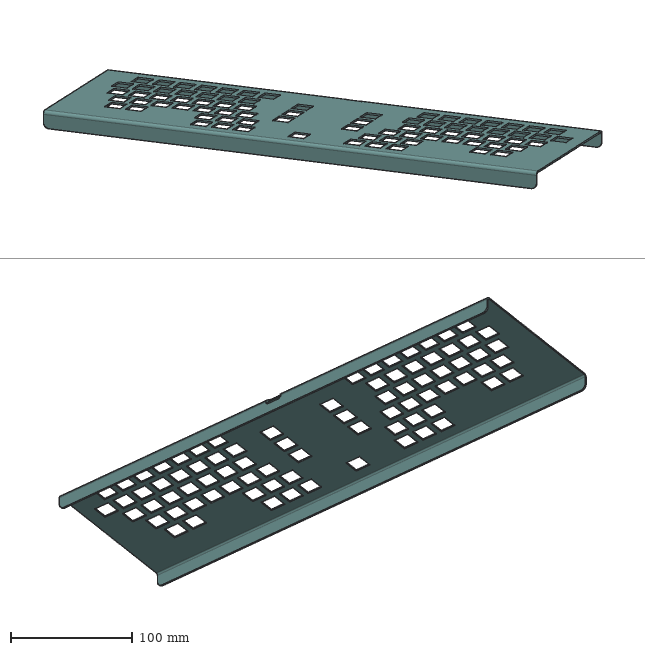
import cadquery as cq

length = 443.86
width = 134.3
height = 15.0
sheet = 1.5
bend_radius = 3.0
flange_corner_radius = 5.0

key_pitch = 19.05
key_size = 14.0

opening_width = 15.5
opening_height = 6.0

left_runs = [
    (2.5, 3.625, 7),
    (1.5, 4.125, 7),
    (0.5, 3.875, 7),
    (-0.5, 3.375, 7),
    (-1.5, 2.875, 3),
    (-1.5, 8.125, 2),
    (-2.5, 2.625, 3),
]
right_runs = [
    (2.5, 3.875, 7),
    (1.5, 3.625, 8),
    (0.5, 3.875, 7),
    (-0.5, 3.375, 7),
    (-1.5, 2.875, 3),
    (-1.5, 8.125, 2),
    (-2.5, 2.625, 3),
]
inner_column = 1.625
inner_rows = [1.5, 0.5, -0.5]
centre_key = (0, -2.5)


def channel():
    """Top sheet with a flange bent down along the front and the rear edge."""
    outer = (
        cq.Workplane("XY")
        .box(length, width, height, centered=(True, True, False))
        .edges("|X and >Z")
        .fillet(bend_radius)
    )
    inner = (
        cq.Workplane("XY")
        .box(length, width - 2 * sheet, height - sheet, centered=(True, True, False))
        .edges("|X and >Z")
        .fillet(bend_radius - sheet)
    )
    return outer.cut(inner).edges("|Y and <Z").fillet(flange_corner_radius)


def run_points(runs, side):
    """Cutout centres of all runs, in pitches; side is -1 for left and 1 for right."""
    return [
        (side * (first_column + step), row)
        for row, first_column, count in runs
        for step in range(count)
    ]


def key_cutouts():
    """Square prisms through the top sheet, one per key."""
    inner_points = [(side * inner_column, row) for side in (-1, 1) for row in inner_rows]
    points = run_points(left_runs, -1) + run_points(right_runs, 1) + inner_points + [centre_key]
    return (
        cq.Workplane("XY")
        .pushPoints([(column * key_pitch, row * key_pitch) for column, row in points])
        .rect(key_size, key_size)
        .extrude(height)
    )


def cable_opening():
    """Obround prism through the rear flange and its bend."""
    return (
        cq.Workplane("XZ", origin=(0, width / 2, height - opening_height / 2))
        .slot2D(opening_width, opening_height)
        .extrude(bend_radius)
    )


result = channel().cut(key_cutouts()).cut(cable_opening())